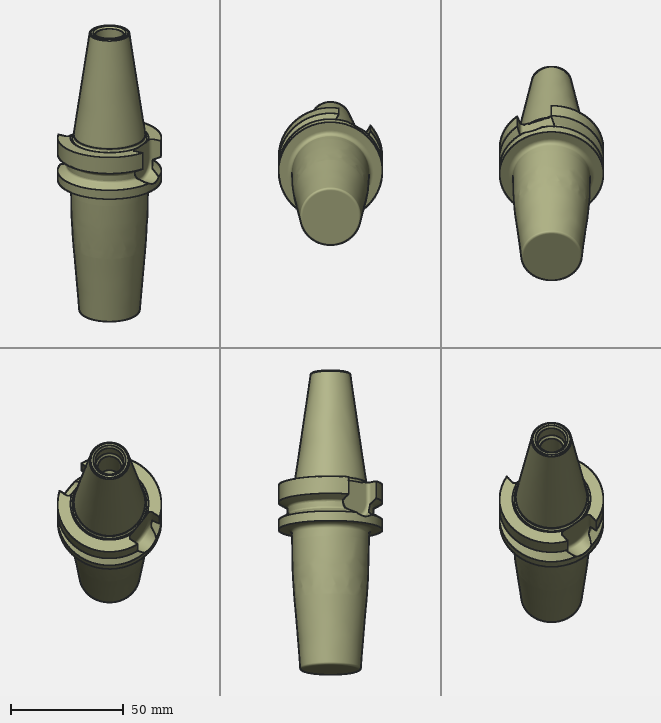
import cadquery as cq
import math

total_height = 133.4
flange_bottom = 63.0
flange_top = 83.0
gauge_height = 84.8

gauge_radius = 15.9
taper_slope = 7 / 48
shank_top_radius = gauge_radius - (total_height - gauge_height) * taper_slope
shank_top_chamfer = 0.5
neck_radius = 15.7
neck_top = 84.0

undercut_outer_radius = 17.3
undercut_floor_radius = 16.5
undercut_depth = 0.4
undercut_fillet = undercut_floor_radius - neck_radius

flange_diameter = 46.0
flange_radius = flange_diameter / 2
groove_root_radius = 19.1
groove_top = 75.2
groove_bottom = 67.2
groove_root_fillet = 1.0
groove_side_height = (flange_radius - groove_root_radius) * math.tan(math.radians(30))

nose_radius = 17.1
nose_fillet = 2.0
nose_fillet_start = flange_bottom - nose_fillet
arc_top = 57.2
arc_bottom = 31.5
nose_angle = math.radians(4.7)
arc_height = arc_top - arc_bottom
arc_bottom_radius = nose_radius - arc_height * math.tan(nose_angle / 2)
arc_middle_radius = nose_radius - arc_height / 2 * math.tan(nose_angle / 4)
tip_radius = arc_bottom_radius - arc_bottom * math.tan(nose_angle)
tip_fillet = 1.1

slot_width = 16.1
slot_half_width = slot_width / 2
slot_floor_distance = 16.3
slot_floor_fillet = 1.6
slot_center_height = 74.0

mouth_radius = 7.2
counterbore_radius = 6.3
counterbore_depth = 7.0
hole_radius = 5.2
hole_depth = 24.0
drill_point_angle = math.radians(118)


def revolve_around_z(profile):
    return profile.close().revolve(360, (0, 0, 0), (0, 1, 0))


def make_nose():
    profile = (
        cq.Workplane("XZ")
        .lineTo(tip_radius, 0)
        .lineTo(arc_bottom_radius, arc_bottom)
        .threePointArc((arc_middle_radius, arc_bottom + arc_height / 2), (nose_radius, arc_top))
        .lineTo(nose_radius, nose_fillet_start)
        .radiusArc((nose_radius + nose_fillet, nose_fillet_start + nose_fillet), nose_fillet)
        .lineTo(0, flange_bottom)
    )
    return revolve_around_z(profile).faces("<Z").edges().fillet(tip_fillet)


def make_flange():
    profile = (
        cq.Workplane("XZ")
        .moveTo(0, flange_bottom)
        .lineTo(flange_radius, flange_bottom)
        .lineTo(flange_radius, groove_bottom)
        .lineTo(groove_root_radius, groove_bottom + groove_side_height)
        .lineTo(groove_root_radius, groove_top - groove_side_height)
        .lineTo(flange_radius, groove_top)
        .lineTo(flange_radius, flange_top)
        .lineTo(0, flange_top)
    )
    root_edges = cq.selectors.RadiusNthSelector(0)
    return revolve_around_z(profile).edges("%CIRCLE").edges(root_edges).fillet(groove_root_fillet)


def make_shank():
    profile = (
        cq.Workplane("XZ")
        .moveTo(0, flange_top)
        .lineTo(neck_radius, flange_top)
        .lineTo(neck_radius, neck_top)
        .lineTo(gauge_radius, neck_top)
        .lineTo(gauge_radius, gauge_height)
        .lineTo(shank_top_radius, total_height)
        .lineTo(0, total_height)
    )
    return revolve_around_z(profile).faces(">Z").edges().chamfer(shank_top_chamfer)


def make_neck_fillet():
    """Ring that fills the corner between the neck and the undercut floor."""
    undercut_floor = flange_top - undercut_depth
    profile = (
        cq.Workplane("XZ")
        .moveTo(neck_radius, undercut_floor)
        .lineTo(undercut_floor_radius, undercut_floor)
        .radiusArc((neck_radius, undercut_floor + undercut_fillet), undercut_fillet)
    )
    return revolve_around_z(profile)


def make_undercut():
    undercut_floor = flange_top - undercut_depth
    profile = (
        cq.Workplane("XZ")
        .moveTo(neck_radius, flange_top)
        .lineTo(neck_radius, undercut_floor)
        .lineTo(undercut_floor_radius, undercut_floor)
        .lineTo(undercut_outer_radius, flange_top)
    )
    return revolve_around_z(profile)


def make_slot_cutter():
    """Cutter for the +X slot: round lower end, rounded floor edge, open above the flange."""
    cutter_top = flange_top + 2 * slot_floor_fillet
    return (
        cq.Workplane("YZ", origin=(slot_floor_distance, 0, 0))
        .moveTo(-slot_half_width, cutter_top)
        .lineTo(-slot_half_width, slot_center_height)
        .threePointArc(
            (0, slot_center_height - slot_half_width), (slot_half_width, slot_center_height)
        )
        .lineTo(slot_half_width, cutter_top)
        .close()
        .extrude(flange_radius)
        .faces("<X")
        .edges("not(>Z)")
        .fillet(slot_floor_fillet)
    )


def make_bore():
    mouth_height = total_height - (mouth_radius - counterbore_radius)
    counterbore_floor = total_height - counterbore_depth
    hole_floor = total_height - hole_depth
    drill_point_height = hole_radius / math.tan(drill_point_angle / 2)
    profile = (
        cq.Workplane("XZ")
        .moveTo(0, total_height)
        .lineTo(mouth_radius, total_height)
        .lineTo(counterbore_radius, mouth_height)
        .lineTo(counterbore_radius, counterbore_floor)
        .lineTo(hole_radius, counterbore_floor - counterbore_radius + hole_radius)
        .lineTo(hole_radius, hole_floor)
        .lineTo(0, hole_floor - drill_point_height)
    )
    return revolve_around_z(profile)


flange = make_flange().cut(make_undercut())
body = make_nose().union(flange).union(make_shank()).union(make_neck_fillet())
for slot_angle in (0, 180):
    body = body.cut(make_slot_cutter().rotate((0, 0, 0), (0, 0, 1), slot_angle))
result = body.cut(make_bore())